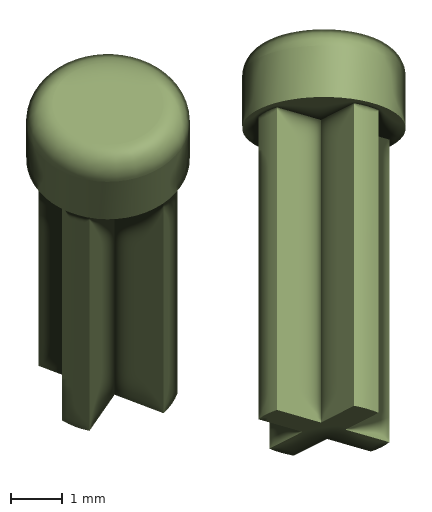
import cadquery as cq

total_height = 7.94
cap_diameter = 3.175
cap_height = 1.59
cap_edge_radius = 0.51

stem_diameter = 2.795
arm_thickness = 0.595
stem_height = total_height - cap_height


def make_stem():
    """Four-armed stem, trimmed by a round envelope, standing on Z = 0."""
    arm_along_x = cq.Workplane("XY").rect(cap_diameter, arm_thickness).extrude(stem_height)
    arm_along_y = cq.Workplane("XY").rect(arm_thickness, cap_diameter).extrude(stem_height)
    envelope = cq.Workplane("XY").circle(stem_diameter / 2).extrude(stem_height)
    return arm_along_x.union(arm_along_y).intersect(envelope)


def make_cap():
    """Round head on top of the stem, with its upper rim rounded over."""
    head = cq.Workplane("XY").workplane(offset=stem_height).circle(cap_diameter / 2).extrude(cap_height)
    return head.faces(">Z").edges().fillet(cap_edge_radius)


result = make_stem().union(make_cap())